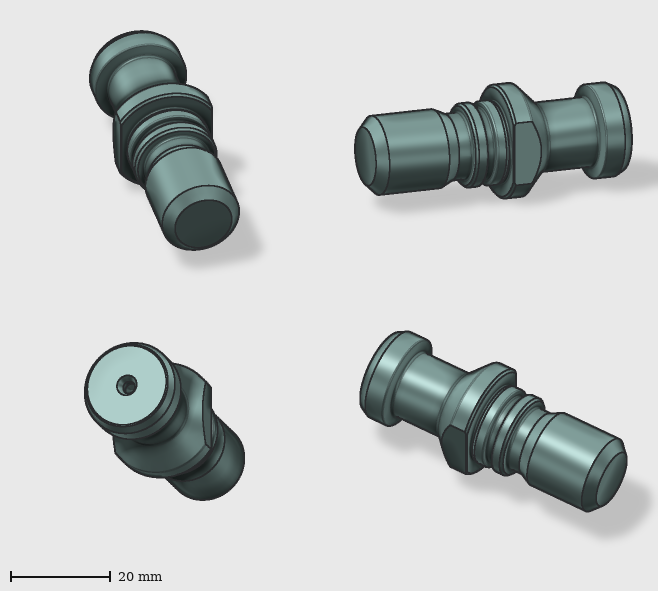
import cadquery as cq
import math

length = 54.0
width_across_flats = 19.0

head_radius = 19.0 / 2
head_face_radius = 17.0 / 2
face_edge_break = 0.2
head_taper_end = 1.95
head_back = 6.0
head_back_round = 0.25
head_shoulder_end = 6.65

neck_radius = 14.05 / 2
neck_head_fillet = 0.5
neck_flange_fillet = 0.85

flange_radius = 23.0 / 2
flange_cone_end = 21.9
flange_cone_start = flange_cone_end - (flange_radius - neck_radius)
flange_cone_round = 0.5
flange_back = 25.85
flange_chamfer = 0.5
flat_back_chamfer = 0.2

relief_radius = 16.6 / 2
relief_fillet = 0.3
relief_taper_start = 26.35
pilot_radius = 17.0 / 2
pilot_start = 27.0
groove_start = 29.0
groove_end = 30.9
groove_radius = 14.6 / 2
groove_edge_round = 0.3
groove_fillet = 0.3
pilot_end = 33.35
pilot_chamfer = 0.5

undercut_radius = 13.5 / 2
undercut_start = 33.6
undercut_fillet = 0.45
undercut_end = 36.45
shank_start = 39.05
shank_radius = 16.0 / 2
shank_chamfer = 2.1

hole_radius = 2.5 / 2
countersink_radius = 4.15 / 2
countersink_half_angle = 30.0
hole_depth = 3.0
drill_half_angle = 59.0


def revolve_profile(points):
    """Turn a closed (x, radius) outline about the X axis."""
    return cq.Workplane("XY").polyline(points).close().revolve(360, (0, 0, 0), (1, 0, 0))


def circle_edge(x, radius):
    """Select the circular edge that passes through (x, radius) in the XZ plane."""
    margin = 0.01
    return cq.selectors.BoxSelector(
        (x - margin, -radius - margin, -radius - margin),
        (x + margin, radius + margin, radius + margin),
        boundingbox=True,
    ) - cq.selectors.BoxSelector(
        (x - margin, -radius + margin, -radius + margin),
        (x + margin, radius - margin, radius - margin),
        boundingbox=True,
    )


def turned_body():
    body = revolve_profile([
        (0, 0),
        (0, head_face_radius),
        (head_taper_end, head_radius),
        (head_back, head_radius),
        (head_shoulder_end, neck_radius),
        (flange_cone_start, neck_radius),
        (flange_cone_end, flange_radius),
        (flange_back, flange_radius),
        (flange_back, relief_radius),
        (relief_taper_start, relief_radius),
        (pilot_start, pilot_radius),
        (groove_start, pilot_radius),
        (groove_start, groove_radius),
        (groove_end, groove_radius),
        (groove_end, pilot_radius),
        (pilot_end, pilot_radius),
        (undercut_start, undercut_radius),
        (undercut_end, undercut_radius),
        (shank_start, shank_radius),
        (length, shank_radius),
        (length, 0),
    ])
    rounds = [
        (head_back, head_radius, head_back_round),
        (head_shoulder_end, neck_radius, neck_head_fillet),
        (flange_cone_start, neck_radius, neck_flange_fillet),
        (flange_cone_end, flange_radius, flange_cone_round),
        (flange_back, relief_radius, relief_fillet),
        (groove_start, pilot_radius, groove_edge_round),
        (groove_start, groove_radius, groove_fillet),
        (groove_end, groove_radius, groove_fillet),
        (groove_end, pilot_radius, groove_edge_round),
        (undercut_start, undercut_radius, undercut_fillet),
    ]
    for x, radius, size in rounds:
        body = body.edges(circle_edge(x, radius)).fillet(size)
    chamfers = [
        (0, head_face_radius, face_edge_break),
        (flange_back, flange_radius, flange_chamfer),
        (pilot_end, pilot_radius, pilot_chamfer),
        (length, shank_radius, shank_chamfer),
    ]
    for x, radius, size in chamfers:
        body = body.edges(circle_edge(x, radius)).chamfer(size)
    return body


def flats_envelope():
    """Slab that trims the flange to its two wrench flats."""
    return cq.Workplane("XY").box(
        length, width_across_flats, 2 * flange_radius, centered=(False, True, True)
    )


def centre_hole():
    countersink_width = countersink_radius - hole_radius
    countersink_depth = countersink_width / math.tan(math.radians(countersink_half_angle))
    tip_depth = hole_depth + hole_radius / math.tan(math.radians(drill_half_angle))
    return revolve_profile([
        (0, 0),
        (0, countersink_radius),
        (countersink_depth, hole_radius),
        (hole_depth, hole_radius),
        (tip_depth, 0),
    ])


part = turned_body().intersect(flats_envelope())
for flat in ("<Y", ">Y"):
    part = part.faces(flat).edges(">X").chamfer(flat_back_chamfer)
result = part.cut(centre_hole())